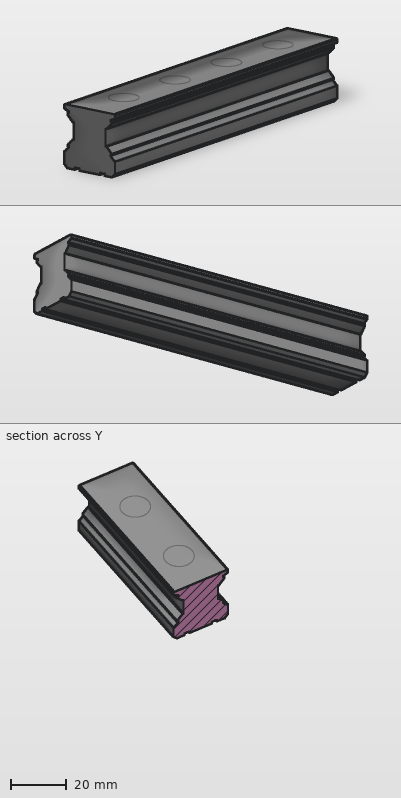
import cadquery as cq

length = 130.0
width = 23.0
height = 23.7

top_chamfer = 0.4
head_side_height = 1.0
lip_bevel_width = 0.1
lip_bevel_drop = 0.3
lip_root_z = 21.2
upper_step_z = 20.7

waist_half_width = 7.3
waist_bottom_z = 11.0
waist_top_z = 17.5
waist_step = 0.4

groove_half_width = 10.0
step_depth = 0.5

lower_step_z = 8.3
foot_slope_start_z = 7.9
foot_bevel_width = 0.4
foot_bevel_drop = 0.3
foot_chamfer = 1.4

relief_inner = 4.7
relief_outer = 6.8
relief_depth = 0.8

cap_count = 4
cap_diameter = 11.0
cap_pitch = 30.0
cap_thickness = 1.3

half_width = width / 2
step_half_width = groove_half_width - step_depth
head_side_z = height - top_chamfer - head_side_height
flank_half_width = waist_half_width + waist_step
groove_flank_drop = groove_half_width - flank_half_width
bevel_half_width = half_width - foot_bevel_width
foot_bevel_z = foot_slope_start_z - (bevel_half_width - step_half_width)


def right_half_outline():
    """Points of the +X half of the rail section, from the bottom to the top."""
    return [
        (relief_inner, 0),
        (relief_inner, relief_depth),
        (relief_outer, relief_depth),
        (relief_outer, 0),
        (half_width - foot_chamfer, 0),
        (half_width, foot_chamfer),
        (half_width, foot_bevel_z - foot_bevel_drop),
        (bevel_half_width, foot_bevel_z),
        (step_half_width, foot_slope_start_z),
        (step_half_width, lower_step_z),
        (groove_half_width, lower_step_z),
        (groove_half_width, waist_bottom_z - groove_flank_drop),
        (flank_half_width, waist_bottom_z),
        (waist_half_width, waist_bottom_z),
        (waist_half_width, waist_top_z),
        (flank_half_width, waist_top_z),
        (groove_half_width, waist_top_z + groove_flank_drop),
        (groove_half_width, upper_step_z),
        (step_half_width, upper_step_z),
        (step_half_width, lip_root_z),
        (half_width - lip_bevel_width, head_side_z - lip_bevel_drop),
        (half_width, head_side_z),
        (half_width, height - top_chamfer),
        (half_width - top_chamfer, height),
    ]


def make_rail():
    right = right_half_outline()
    left = [(-x, z) for x, z in reversed(right)]
    section = cq.Workplane("XZ").polyline(right + left).close()
    return section.extrude(length / 2, both=True)


def make_caps():
    return (
        cq.Workplane("XY")
        .workplane(offset=height - cap_thickness)
        .rarray(1.3, cap_pitch, 1, cap_count)
        .circle(cap_diameter / 2)
        .extrude(cap_thickness)
    )


rail = make_rail()
caps = make_caps()
result = rail.cut(caps).union(caps, clean=False)